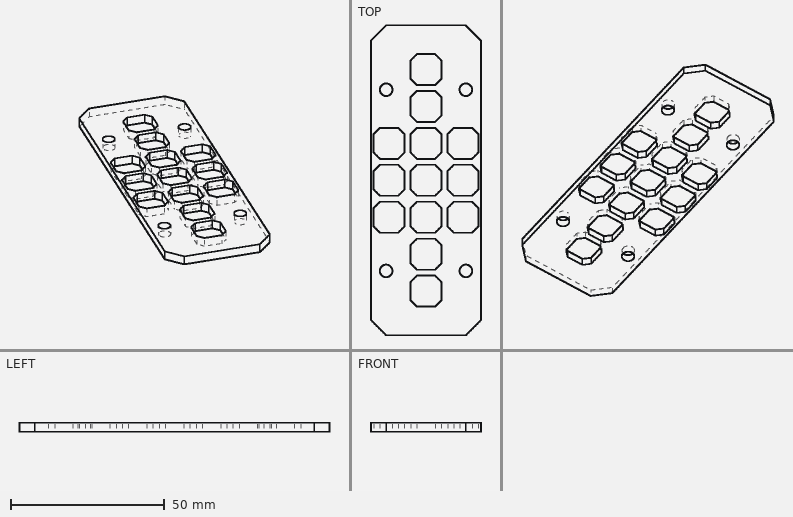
import cadquery as cq

length = 101.0
width = 36.0
thickness = 3.0
plate_corner_cut = 5.0

window_size = 10.0
window_corner_cut = 2.0
window_pitch = 12.0
center_column_count = 7
side_column_count = 3

hole_diameter = 4.0
hole_spacing_x = 26.0
hole_spacing_y = 59.0


def cut_corner_block(size_x, size_y, corner_cut):
    """Block of plate thickness, standing on Z = 0, with its four upright edges chamfered."""
    return (
        cq.Workplane("XY")
        .box(size_x, size_y, thickness, centered=(True, True, False))
        .edges("|Z")
        .chamfer(corner_cut)
    )


def column_centers(x, count):
    """Evenly pitched window centers along Y, symmetric about the X axis."""
    first_y = -(count - 1) / 2 * window_pitch
    return [(x, first_y + i * window_pitch) for i in range(count)]


plate = cut_corner_block(width, length, plate_corner_cut)

window_centers = (
    column_centers(-window_pitch, side_column_count)
    + column_centers(0, center_column_count)
    + column_centers(window_pitch, side_column_count)
)
window = cut_corner_block(window_size, window_size, window_corner_cut)
for x, y in window_centers:
    plate = plate.cut(window.translate((x, y, 0)))

result = (
    plate.faces(">Z")
    .workplane(origin=(0, 0, thickness))
    .rect(hole_spacing_x, hole_spacing_y, forConstruction=True)
    .vertices()
    .hole(hole_diameter)
)